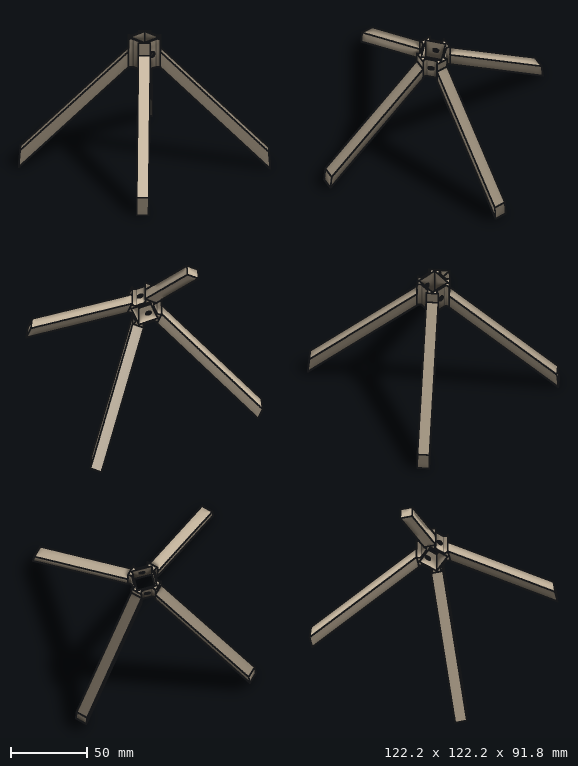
import cadquery as cq
import math

span = 122.2
total_height = 91.8

hub_height = 20.0
bore_side = 13.5
wall = 1.0
hub_side = bore_side + 2 * wall
pin_hole_diameter = 3.5

pad_reach = 10.3
pad_inset = 4.6
pad_fillet = 2.0

leg_width = (pad_reach - pad_inset) * math.sqrt(2)
leg_root = (pad_reach + pad_inset) / math.sqrt(2)
leg_tip = (span - leg_width / math.sqrt(2)) / math.sqrt(2)
leg_slope = (total_height - hub_height) / (leg_tip - leg_root)
leg_root_top = -8.8
foot_height = 12.2


def make_hub():
    """Tube with four diagonal pads, filleted into its flat sides."""
    half = hub_side / 2
    arc_start = pad_inset - pad_fillet
    arc_end = half + pad_fillet
    arc_mid_offset = pad_fillet * math.sqrt(0.5)
    arc_mid = (arc_start + arc_mid_offset, arc_end - arc_mid_offset)

    outline = cq.Workplane("XY").moveTo(-arc_start, half)
    for side in range(4):
        turn = math.radians(-90 * side)

        def place(x, y):
            return (
                x * math.cos(turn) - y * math.sin(turn),
                x * math.sin(turn) + y * math.cos(turn),
            )

        outline = (
            outline.lineTo(*place(arc_start, half))
            .threePointArc(place(*arc_mid), place(pad_inset, arc_end))
            .lineTo(*place(pad_inset, pad_reach))
            .lineTo(*place(pad_reach, pad_inset))
            .lineTo(*place(arc_end, pad_inset))
            .threePointArc(place(arc_mid[1], arc_mid[0]), place(half, arc_start))
        )
    return outline.close().extrude(-hub_height)


def make_leg():
    """Leg along +X, starting on the pad face, with a slightly overhanging end face."""
    foot_top = foot_height - total_height
    foot_top_reach = leg_root + (leg_root_top - foot_top) / leg_slope
    profile = [
        (leg_root, -hub_height),
        (leg_tip, -total_height),
        (foot_top_reach, foot_top),
        (leg_root, leg_root_top),
    ]
    return cq.Workplane("XZ").polyline(profile).close().extrude(leg_width / 2, both=True)


body = make_hub()
leg = make_leg()
for angle in (45, 135, 225, 315):
    body = body.union(leg.rotate((0, 0, 0), (0, 0, 1), angle))

bore = cq.Workplane("XY").rect(bore_side, bore_side).extrude(-hub_height)

pin_hole = (
    cq.Workplane("YZ")
    .center(0, -hub_height / 2)
    .circle(pin_hole_diameter / 2)
    .extrude(hub_side, both=True)
)

result = body.cut(bore).cut(pin_hole)